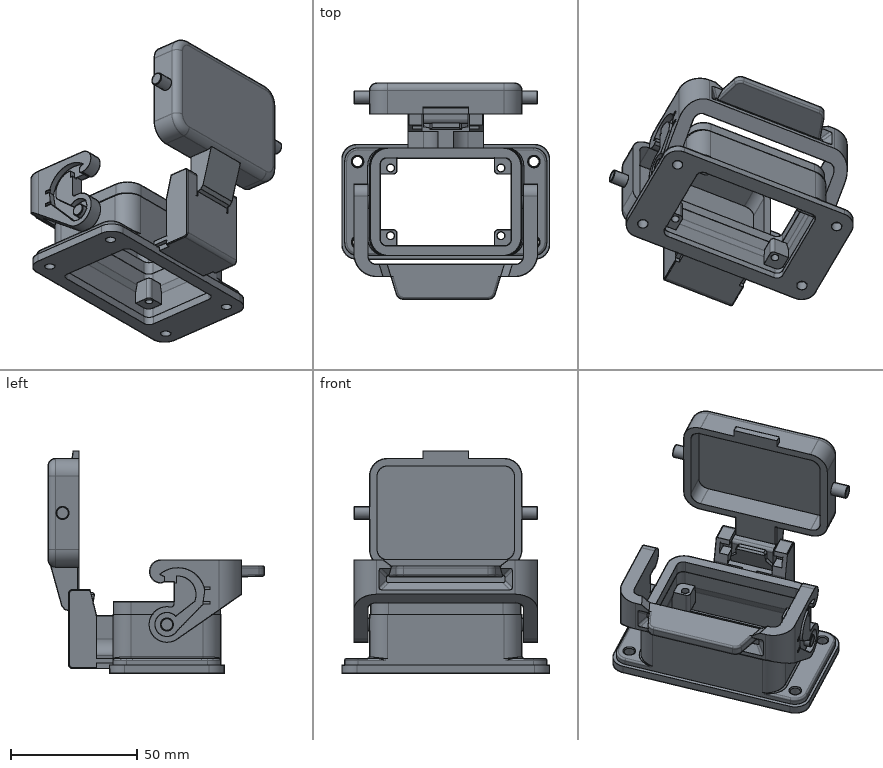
import cadquery as cq
import math

FLANGE_WIDTH = 82.5
FLANGE_DEPTH = 45.6
FLANGE_HEIGHT = 3.35
FLANGE_CORNER = 6.0
FLANGE_LEDGE = 1.15

BODY_WIDTH = 60.5
BODY_DEPTH = 42.7
BODY_CORNER = 7.1
BODY_TOP = 28.5
STEP_TOP = 5.9
STEP_CORNER = 5.3
STEP_EDGE_RADIUS = 0.8
FOOT_FLARE = 0.7
RIM_BOTTOM = 23.3
RIM_INSET = 0.4
RIM_INSET_DEPTH = 0.1

SCREW_X = 35.0
SCREW_Y = 16.0
SCREW_HOLE = 4.1
SCREW_CHAMFER = 0.4

CAVITY_WIDTH = 51.9
CAVITY_DEPTH = 34.8
CAVITY_CORNER = 2.65
CAVITY_STEP = 0.1
UNDERCUT = 0.7
UNDERCUT_START = 16.2
UNDERCUT_FULL = 13.1
SILL_LIP = 0.2

POST_WIDTH = 6.6
POST_DEPTH = 6.4
POST_BOTTOM = 7.95
POST_TOP = 17.0
POST_CORNER = 1.5
POST_ROOT = 1.8
POST_HOLE = 3.0
POST_HOLE_X = 21.9
POST_HOLE_Y = 13.4

LEVER_WIDTH = 72.9
LEVER_ARM = 5.65
LEVER_FRONT = -29.7
LEVER_WALL = 4.95
LEVER_CORNER = 9.1
LEVER_INNER_CORNER = 3.2
LEVER_TOP = 45.0
LEVER_FRONT_BOTTOM = 31.4
PIVOT_Z = 19.4
PIVOT_EYE_RADIUS = 7.1
PIN_RADIUS = 2.6
PIN_CHAMFER = 0.3
HOOK_RADIUS = 4.6
HOOK_Y = 2.3
HOOK_LIP = 1.3
HOOK_BACK_Y = -2.8
HOOK_THROAT_Z = 36.4
THROAT_FILLET = 1.3
GROOVE_DEPTH = 2.65
GROOVE_EYE_RADIUS = 4.8
GROOVE_OUTER = ((2.8, 39.3), (-9.2, 40.8), (-15.0, 33.0), (-14.2, 27.4), (-4.0, 16.9))
GROOVE_INNER = ((-3.7, 22.9), (-11.0, 28.6), (-10.3, 35.3), (-3.9, 38.7))
GROOVE_MOUTH_Y = 0.9
GROOVE_MOUTH_Z = 38.3
MARK_DEPTH = 0.4
MARK_LENGTH = 2.65
MARK_HEIGHT = 1.1
MARK_Y = -15.7
MARK_LEVELS = (33.8, 28.1)

GRIP_TOP = 42.65
GRIP_BOTTOM = 38.15
GRIP_TIP_BOTTOM = 38.6
GRIP_TIP_Y = -38.7
GRIP_ROOT_HALF = 21.7
GRIP_SLANT = 0.3
GRIP_ROOT_DEPTH = 3.9
GRIP_CORNER = 3.1
GRIP_EDGE_RADIUS = 0.8
GRIP_RAMP = 3.2
POCKET_WIDTH = 52.8
POCKET_BOTTOM = 33.2
POCKET_TOP = 41.7
POCKET_CORNER = 1.3
POCKET_SLOPE = 2.8

LID_FRONT = 34.8
LID_BACK = 47.15
LID_BOTTOM = 42.1
LID_TOP = 85.3
LID_WALL = 3.0
TAB_WIDTH = 18.2
TAB_TOP = 88.3
TAB_THICKNESS = 2.8
TAB_SLANT = 0.35
LID_PIN_Y = 41.4
LID_PIN_Z = 63.7

BRACKET_WIDTH = 30.0
BRACKET_BACK = 39.0
BRACKET_FRONT = 27.9
BRACKET_TOP = 33.3
BRACKET_TOP_FRONT = 30.55
BRACKET_BOTTOM = 1.9
BRACKET_CORNER = 1.6
BRACKET_CHAMFER = 0.35
CHEEK_GAP = 18.7
WINDOW_BOTTOM = 26.8
WINDOW_TOP = 31.3
WINDOW_WIDTH = 3.8
WINDOW_BACK = 33.55
NECK_TOP = 23.0
NECK_HALF = 3.1
NECK_CURVE_TOP = 13.7
NECK_CURVE_END = (8.7, 7.15)
NECK_CURVE_MID = (4.95, 9.0)
NECK_EDGE_Z = 6.0
NECK_BOTTOM = 4.15
NECK_PLATE_WIDTH = 26.5
TONGUE_WIDTH = 17.5
TONGUE_BOTTOM = 24.9
TONGUE_BACK_TOP = 46.8
TONGUE_BACK_LOW = (41.8, 26.9)
TONGUE_HEEL = (40.6, 25.4)
TONGUE_CHAMFER = 0.6
KNUCKLE_TOP = 32.9
KNUCKLE_FRONT = 31.1
KNUCKLE_RADIUS = 1.3
KNUCKLE_CORE = 32.7
LIP_FRONT = 28.7
LIP_ROOT = 30.3
LIP_TOP = 32.1
LIP_HALF = 6.2
LIP_SHOULDER = 25.6
LIP_CHAMFER = 0.8


def slab(width, depth, bottom, top, corner):
    """Upright block centred in X and Y with rounded vertical edges."""
    block = cq.Workplane("XY").box(width, depth, top - bottom, centered=(True, True, False))
    return block.edges("|Z").fillet(corner).translate((0, 0, bottom))


def across(points, width):
    """Closed (Y, Z) polygon extruded along X about the middle plane."""
    return cq.Workplane("YZ").polyline(points).close().extrude(width / 2, both=True)


def rod(radius, x_start, x_end, y, z):
    """Round bar along X."""
    return cq.Workplane("YZ", origin=(x_start, y, z)).circle(radius).extrude(x_end - x_start)


def both_sides(shape):
    """The shape together with its mirror image in X."""
    return shape.union(shape.mirror("YZ"))


def corners(x, y):
    """The four points (+-x, +-y)."""
    return [(sx * x, sy * y) for sx in (-1, 1) for sy in (-1, 1)]


def housing():
    flange = slab(FLANGE_WIDTH, FLANGE_DEPTH, 0, FLANGE_HEIGHT, FLANGE_CORNER)
    step_width = FLANGE_WIDTH - 2 * FLANGE_LEDGE
    step = slab(step_width, BODY_DEPTH, 0, STEP_TOP, STEP_CORNER)
    step = step.faces(">Z").edges().fillet(STEP_EDGE_RADIUS)
    shell = slab(BODY_WIDTH, BODY_DEPTH, 0, RIM_BOTTOM, BODY_CORNER)
    rim = slab(BODY_WIDTH - 2 * RIM_INSET, BODY_DEPTH - 2 * RIM_INSET_DEPTH, 0, BODY_TOP, BODY_CORNER)
    foot = slab(BODY_WIDTH + 2 * FOOT_FLARE, BODY_DEPTH, 0, STEP_TOP + FOOT_FLARE, BODY_CORNER)
    foot = foot.faces(">Z").edges().chamfer(FOOT_FLARE)
    body = flange.union(step).union(shell).union(rim).union(foot)
    for x, y in corners(SCREW_X, SCREW_Y):
        hole = cq.Workplane("XY").circle(SCREW_HOLE / 2).extrude(STEP_TOP)
        mouth = cq.Solid.makeCone(
            SCREW_HOLE / 2, SCREW_HOLE / 2 + SCREW_CHAMFER, SCREW_CHAMFER,
            cq.Vector(0, 0, STEP_TOP - SCREW_CHAMFER))
        body = body.cut(hole.union(cq.Workplane(mouth)).translate((x, y, 0)))
    return body


def cavity():
    top = slab(CAVITY_WIDTH, CAVITY_DEPTH, RIM_BOTTOM, BODY_TOP, CAVITY_CORNER)
    wide = CAVITY_WIDTH + 2 * CAVITY_STEP
    deep = CAVITY_DEPTH + 2 * CAVITY_STEP
    middle = slab(wide, deep, FLANGE_HEIGHT, RIM_BOTTOM, CAVITY_CORNER)
    lower = slab(wide + 2 * UNDERCUT, deep + 2 * UNDERCUT, FLANGE_HEIGHT, UNDERCUT_START, CAVITY_CORNER)
    lower = lower.faces(">Z").edges().chamfer(UNDERCUT_START - UNDERCUT_FULL, UNDERCUT)
    sill = slab(CAVITY_WIDTH, CAVITY_DEPTH - 2 * SILL_LIP, 0, FLANGE_HEIGHT, CAVITY_CORNER)
    return top.union(middle).union(lower).union(sill)


def posts():
    """Four corner posts, each run into the walls behind it."""
    group = cq.Workplane("XY")
    for side_x, side_y in corners(1, 1):
        width = POST_WIDTH + POST_ROOT
        depth = POST_DEPTH + POST_ROOT
        post = (
            cq.Workplane("XY").box(width, depth, POST_TOP - POST_BOTTOM, centered=(False, False, False))
            .edges("|Z and <X and <Y").fillet(POST_CORNER)
            .translate((CAVITY_WIDTH / 2 - POST_WIDTH, CAVITY_DEPTH / 2 - POST_DEPTH, POST_BOTTOM))
        )
        bore = cq.Workplane("XY").center(POST_HOLE_X, POST_HOLE_Y).circle(POST_HOLE / 2).extrude(POST_TOP)
        post = post.cut(bore)
        if side_x < 0:
            post = post.mirror("YZ")
        if side_y < 0:
            post = post.mirror("XZ")
        group = group.union(post)
    return group


def eye_point(angle):
    """Point (Y, Z) on the rim of the lever's pivot eye."""
    return (PIVOT_EYE_RADIUS * math.cos(angle), PIVOT_Z + PIVOT_EYE_RADIUS * math.sin(angle))


def lever_profile():
    """Side outline of the lever: hook, throat, pivot eye and sloped underside."""
    rise = LEVER_FRONT_BOTTOM - PIVOT_Z
    reach = math.hypot(LEVER_FRONT, rise)
    touch_angle = math.atan2(rise, LEVER_FRONT) + math.acos(PIVOT_EYE_RADIUS / reach)
    touch = eye_point(touch_angle)
    throat_angle = math.acos(HOOK_BACK_Y / PIVOT_EYE_RADIUS)
    profile = (
        cq.Workplane("YZ")
        .moveTo(LEVER_FRONT, LEVER_TOP)
        .lineTo(HOOK_Y, LEVER_TOP)
        .threePointArc((HOOK_Y + HOOK_RADIUS, LEVER_TOP - HOOK_RADIUS), (HOOK_Y, LEVER_TOP - 2 * HOOK_RADIUS))
        .lineTo(HOOK_Y - HOOK_LIP, HOOK_THROAT_Z)
        .lineTo(HOOK_BACK_Y, HOOK_THROAT_Z)
        .lineTo(*eye_point(throat_angle))
        .threePointArc(eye_point((throat_angle + touch_angle - 2 * math.pi) / 2), touch)
        .lineTo(LEVER_FRONT, LEVER_FRONT_BOTTOM)
        .close().extrude(LEVER_WIDTH / 2, both=True)
    )
    throat_y, throat_z = eye_point(throat_angle)
    throat_corner = cq.selectors.NearestToPointSelector((0, throat_y, throat_z))
    return profile.edges("|X").edges(throat_corner).fillet(THROAT_FILLET)


def lever_groove():
    """Curved recess in the outer face of the -X arm, running from the pivot eye to the hook."""
    tip, outer_crest, outer_bend, outer_low, outer_foot = GROOVE_OUTER
    inner_foot, inner_low, inner_bend, inner_end = GROOVE_INNER
    channel = (
        cq.Workplane("YZ")
        .moveTo(*tip)
        .threePointArc(outer_crest, outer_bend)
        .lineTo(*outer_low)
        .lineTo(*outer_foot)
        .lineTo(0, PIVOT_Z)
        .lineTo(*inner_foot)
        .lineTo(*inner_low)
        .threePointArc(inner_bend, inner_end)
        .lineTo(inner_end[0], LEVER_TOP - 2 * HOOK_RADIUS)
        .lineTo(GROOVE_MOUTH_Y, LEVER_TOP - 2 * HOOK_RADIUS)
        .lineTo(GROOVE_MOUTH_Y, GROOVE_MOUTH_Z)
        .close().extrude(GROOVE_DEPTH)
        .translate((-LEVER_WIDTH / 2, 0, 0))
    )
    return channel.union(rod(GROOVE_EYE_RADIUS, -LEVER_WIDTH / 2, GROOVE_DEPTH - LEVER_WIDTH / 2, 0, PIVOT_Z))


def lever_marks():
    """Two short index notches beside the groove."""
    marks = cq.Workplane("XY")
    for z in MARK_LEVELS:
        mark = cq.Workplane("XY").box(MARK_DEPTH, MARK_LENGTH, MARK_HEIGHT, centered=(False, True, True))
        marks = marks.union(mark.translate((-LEVER_WIDTH / 2, MARK_Y, z)))
    return marks


def grip():
    back = LEVER_FRONT + GRIP_ROOT_DEPTH
    back_half = GRIP_ROOT_HALF + GRIP_SLANT * GRIP_ROOT_DEPTH
    tip_half = GRIP_ROOT_HALF - GRIP_SLANT * (LEVER_FRONT - GRIP_TIP_Y)
    outline = [(-back_half, back), (-tip_half, GRIP_TIP_Y), (tip_half, GRIP_TIP_Y), (back_half, back)]
    plate = cq.Workplane("XY").workplane(offset=GRIP_BOTTOM).polyline(outline).close()
    plate = plate.extrude(GRIP_TOP - GRIP_BOTTOM).edges("|Z and <Y").fillet(GRIP_CORNER)
    side = [(back, GRIP_BOTTOM), (back, GRIP_TOP), (GRIP_TIP_Y, GRIP_TOP), (GRIP_TIP_Y, GRIP_TIP_BOTTOM)]
    plate = plate.intersect(across(side, LEVER_WIDTH))
    return plate.faces("<Z or >Z").edges("not >Y").fillet(GRIP_EDGE_RADIUS)


def grip_notch():
    """Trough with ramped ends cut in the top of the front wall above the grip."""
    back_half = GRIP_ROOT_HALF + LEVER_WALL * GRIP_SLANT

    def section(half):
        ramp_top = half + GRIP_RAMP
        return [(-half, GRIP_TOP), (half, GRIP_TOP), (ramp_top, LEVER_TOP), (-ramp_top, LEVER_TOP)]

    trough = (
        cq.Workplane("XZ", origin=(0, LEVER_FRONT, 0))
        .polyline(section(GRIP_ROOT_HALF)).close()
        .workplane(offset=-LEVER_WALL)
        .polyline(section(back_half)).close()
        .loft(ruled=True)
    )
    return trough


def grip_pocket():
    """Sloped-wall recess in the front wall, below and beside the grip."""
    height = POCKET_TOP - POCKET_BOTTOM
    mouth = cq.Workplane("XZ").rect(POCKET_WIDTH, height).extrude(-POCKET_SLOPE, taper=45)
    mouth = mouth.edges("not #Y").edges("not |X").edges("not |Z").fillet(POCKET_CORNER)
    return mouth.translate((0, LEVER_FRONT, (POCKET_TOP + POCKET_BOTTOM) / 2))


def lever():
    back = HOOK_Y + PIVOT_EYE_RADIUS
    outer = (
        cq.Workplane("XY").box(LEVER_WIDTH, back - LEVER_FRONT, LEVER_TOP, centered=(True, False, False))
        .translate((0, LEVER_FRONT, 0)).edges("|Z and <Y").fillet(LEVER_CORNER)
    )
    inner_front = LEVER_FRONT + LEVER_WALL
    inner_width = LEVER_WIDTH - 2 * LEVER_ARM
    inner = (
        cq.Workplane("XY").box(inner_width, back - inner_front, LEVER_TOP, centered=(True, False, False))
        .translate((0, inner_front, 0)).edges("|Z and <Y").fillet(LEVER_INNER_CORNER)
    )
    bow = outer.cut(inner).intersect(lever_profile())
    bow = bow.cut(both_sides(lever_groove().union(lever_marks())))
    bow = bow.cut(grip_notch()).cut(grip_pocket()).union(grip())
    pin_inner = (CAVITY_WIDTH + BODY_WIDTH) / 4
    pin = rod(PIN_RADIUS, -LEVER_WIDTH / 2, -pin_inner, 0, PIVOT_Z).faces("<X").chamfer(PIN_CHAMFER)
    return bow.union(both_sides(pin))


def lid():
    height = LID_TOP - LID_BOTTOM
    thickness = LID_BACK - LID_FRONT
    shell = cq.Workplane("XZ").rect(BODY_WIDTH, height).extrude(-thickness).edges("|Y").fillet(BODY_CORNER)
    shell = shell.faces(">Y").edges().fillet(LID_WALL)
    recess = cq.Workplane("XZ").rect(BODY_WIDTH - 2 * LID_WALL, height - 2 * LID_WALL)
    recess = recess.extrude(LID_WALL - thickness).edges("|Y").fillet(BODY_CORNER - LID_WALL)
    cup = shell.cut(recess).translate((0, LID_FRONT, (LID_TOP + LID_BOTTOM) / 2))
    tab_back = LID_FRONT + TAB_THICKNESS
    tab = across(
        [
            (LID_FRONT, LID_TOP - LID_WALL),
            (tab_back, LID_TOP - LID_WALL),
            (tab_back, LID_TOP),
            (tab_back - TAB_SLANT, TAB_TOP),
            (LID_FRONT, TAB_TOP),
        ],
        TAB_WIDTH,
    )
    pin = rod(PIN_RADIUS, -LEVER_WIDTH / 2, LID_WALL - BODY_WIDTH / 2, LID_PIN_Y, LID_PIN_Z)
    pin = pin.faces("<X").chamfer(PIN_CHAMFER)
    return cup.union(tab).union(both_sides(pin))


def bracket():
    profile = [
        (BRACKET_BACK, BRACKET_BOTTOM),
        (BRACKET_BACK, BRACKET_TOP),
        (BRACKET_TOP_FRONT, BRACKET_TOP),
        (BRACKET_FRONT, NECK_TOP),
        (BRACKET_FRONT, BRACKET_BOTTOM),
    ]
    block = across(profile, BRACKET_WIDTH)
    block = block.edges("|X and >Y").fillet(BRACKET_CORNER)
    behind_front = cq.selectors.BoxSelector(
        (-BRACKET_WIDTH, BRACKET_TOP_FRONT, 0), (BRACKET_WIDTH, LID_BACK, LID_BOTTOM))
    block = block.faces("<X or >X").edges(behind_front).chamfer(BRACKET_CHAMFER)
    gap_depth = BRACKET_BACK - BRACKET_FRONT
    gap = cq.Workplane("XY").box(CHEEK_GAP, gap_depth, BRACKET_TOP - NECK_TOP, centered=(True, False, False))
    block = block.cut(gap.translate((0, BRACKET_FRONT, NECK_TOP)))
    window = cq.Workplane("XY").box(
        WINDOW_WIDTH, WINDOW_BACK - BRACKET_FRONT, WINDOW_TOP - WINDOW_BOTTOM, centered=False)
    window = window.translate((CHEEK_GAP / 2, BRACKET_FRONT, WINDOW_BOTTOM))
    return block.cut(both_sides(window))


def neck():
    """Link between bracket and body: a narrow web flaring down to a wide base."""
    body_back = BODY_DEPTH / 2
    length = BRACKET_FRONT - body_back
    half = BRACKET_WIDTH / 2
    side = (
        cq.Workplane("XZ")
        .moveTo(0, NECK_TOP)
        .lineTo(NECK_HALF, NECK_TOP)
        .lineTo(NECK_HALF, NECK_CURVE_TOP)
        .threePointArc(NECK_CURVE_MID, NECK_CURVE_END)
        .lineTo(half, NECK_EDGE_Z)
        .lineTo(half, NECK_BOTTOM)
        .lineTo(0, NECK_BOTTOM)
        .close().extrude(-length).translate((0, body_back, 0))
    )
    plate = cq.Workplane("XY").box(
        NECK_PLATE_WIDTH, length, NECK_BOTTOM - BRACKET_BOTTOM, centered=(True, False, False))
    return both_sides(side).union(plate.translate((0, body_back, BRACKET_BOTTOM)))


def tongue():
    """Arm hanging from the lid into the bracket, ending in a knuckle with a snap lip."""
    arm = across(
        [
            (LID_FRONT, LID_BOTTOM + LID_WALL / 2),
            (LID_BACK - LID_WALL, LID_BOTTOM + LID_WALL / 2),
            (TONGUE_BACK_TOP, LID_BOTTOM + LID_WALL),
            TONGUE_BACK_LOW,
            TONGUE_HEEL,
            (BRACKET_BACK, TONGUE_BOTTOM),
            (LID_FRONT, TONGUE_BOTTOM),
        ],
        TONGUE_WIDTH,
    )
    arm = arm.edges("|Z and <Y").chamfer(TONGUE_CHAMFER)
    knuckle = cq.Workplane("XY").box(
        TONGUE_WIDTH, BRACKET_BACK - KNUCKLE_FRONT, KNUCKLE_TOP - NECK_TOP, centered=(True, False, False))
    knuckle = knuckle.edges("|X and <Y and >Z").fillet(KNUCKLE_RADIUS)
    knuckle = knuckle.translate((0, KNUCKLE_FRONT, NECK_TOP))
    lip_edge = TONGUE_WIDTH / 2
    right_edge = [
        (lip_edge, NECK_TOP),
        (lip_edge, LIP_SHOULDER),
        (LIP_HALF, LIP_SHOULDER + lip_edge - LIP_HALF),
        (LIP_HALF, LIP_TOP - LIP_CHAMFER),
        (LIP_HALF - LIP_CHAMFER, LIP_TOP),
    ]
    left_edge = [(-x, z) for x, z in reversed(right_edge)]
    face = cq.Workplane("XZ").polyline(right_edge + left_edge).close().extrude(-BRACKET_BACK)
    wedge = across(
        [
            (KNUCKLE_CORE, NECK_TOP),
            (LIP_ROOT, NECK_TOP),
            (LIP_FRONT, LIP_TOP - LIP_CHAMFER),
            (LIP_FRONT + LIP_CHAMFER, LIP_TOP),
            (KNUCKLE_CORE, LIP_TOP),
        ],
        TONGUE_WIDTH,
    )
    return arm.union(knuckle).union(face.intersect(wedge))


result = (
    housing().cut(cavity()).union(posts()).union(neck()).union(bracket())
    .union(tongue()).union(lid()).union(lever())
)